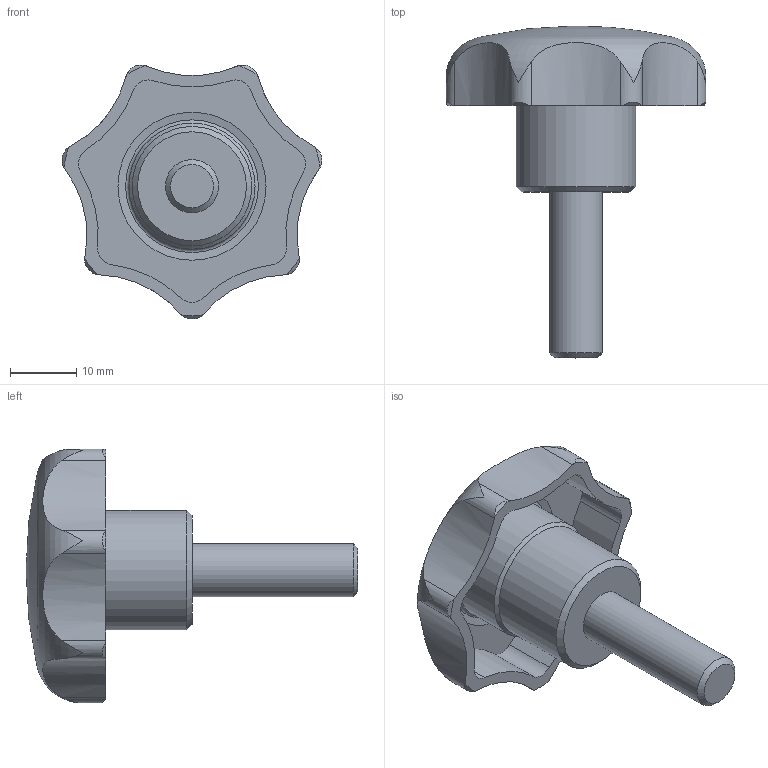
import cadquery as cq
import math


LOBES = 7
TIP_ANGLE = -90.0
HEAD_RADIUS = 20.0
HEAD_HEIGHT = 12.0
VALLEY_RADIUS = 16.65
TIP_ROUND = 2.4
SHOULDER_HEIGHT = 3.5
SHOULDER_ROUND = 7.0
RIM_CHAMFER = 0.5

WALL = 1.7
POCKET_TIP_RADIUS = 17.5
POCKET_DEPTH = 8.4
RECESS_RADIUS = 11.15
RECESS_DEPTH = 0.2

BOSS_RADIUS = 9.5
BOSS_FILLET = 0.5
HUB_RADIUS = 9.0
HUB_LENGTH = 13.0
HUB_CHAMFER = 0.8

STUD_RADIUS = 4.0
STUD_LENGTH = 25.0
STUD_CHAMFER = 0.75


def polar(radius, angle):
    return (radius * math.cos(math.radians(angle)), radius * math.sin(math.radians(angle)))


def toward(start, end, distance):
    """Point at the given distance from start on the line to end."""
    share = distance / math.dist(start, end)
    return (start[0] + share * (end[0] - start[0]), start[1] + share * (end[1] - start[1]))


def scallop_radius(tip_radius, tip_round, valley_radius):
    """Radius of the scallop arc that is tangent to the tip rounds on both sides."""
    tip_x, tip_y = polar(tip_radius - tip_round, 180 / LOBES)
    gap = valley_radius - tip_x
    return (tip_y**2 + gap**2 - tip_round**2) / (2 * (tip_round - gap))


def tip_round_for(tip_radius, valley_radius, scallop):
    """Radius of the tip round that is tangent to scallops of a given radius."""
    centre = valley_radius + scallop
    cosine = math.cos(math.pi / LOBES)
    numerator = centre**2 + tip_radius**2 - 2 * centre * tip_radius * cosine - scallop**2
    return numerator / (2 * (scallop + tip_radius - centre * cosine))


def star_prism(tip_radius, tip_round, valley_radius, scallop, height):
    """Seven-lobed prism standing on Y = 0: tip rounds joined by tangent scallops."""
    pitch = 360 / LOBES
    outline = None
    for lobe in range(LOBES):
        angle = TIP_ANGLE + lobe * pitch
        tip_centre = polar(tip_radius - tip_round, angle)
        scallop_before = polar(valley_radius + scallop, angle - pitch / 2)
        scallop_after = polar(valley_radius + scallop, angle + pitch / 2)
        tip_start = toward(tip_centre, scallop_before, tip_round)
        tip_end = toward(tip_centre, scallop_after, tip_round)
        if outline is None:
            first_point = tip_start
            outline = cq.Workplane("XZ").moveTo(*tip_start)
        else:
            outline = outline.threePointArc(polar(valley_radius, angle - pitch / 2), tip_start)
        outline = outline.threePointArc(polar(tip_radius, angle), tip_end)
    outline = outline.threePointArc(polar(valley_radius, TIP_ANGLE - pitch / 2), first_point)
    return outline.close().extrude(-height)


def revolve_about_y(profile):
    return profile.close().revolve(360, (0, 0, 0), (0, 1, 0))


def head_envelope():
    """Domed body of revolution: chamfered rim, straight side, shoulder round, crown."""
    round_centre = (HEAD_RADIUS - SHOULDER_ROUND, SHOULDER_HEIGHT)
    rise = HEAD_HEIGHT - SHOULDER_HEIGHT
    crown_radius = (rise**2 + round_centre[0]**2 - SHOULDER_ROUND**2) / (2 * (rise - SHOULDER_ROUND))
    crown_centre = HEAD_HEIGHT - crown_radius
    crown_angle = math.degrees(math.atan2(SHOULDER_HEIGHT - crown_centre, round_centre[0]))

    crown_x, crown_rise = polar(crown_radius, crown_angle)
    crown_end = (crown_x, crown_centre + crown_rise)
    crown_mid = polar(crown_radius, (crown_angle + 90) / 2)
    round_mid = polar(SHOULDER_ROUND, crown_angle / 2)
    profile = (
        cq.Workplane("XY")
        .moveTo(0, 0)
        .lineTo(HEAD_RADIUS - RIM_CHAMFER, 0)
        .lineTo(HEAD_RADIUS, RIM_CHAMFER)
        .lineTo(HEAD_RADIUS, SHOULDER_HEIGHT)
        .threePointArc((round_centre[0] + round_mid[0], round_centre[1] + round_mid[1]), crown_end)
        .threePointArc((crown_mid[0], crown_centre + crown_mid[1]), (0, HEAD_HEIGHT))
    )
    return revolve_about_y(profile)


def head():
    scallop = scallop_radius(HEAD_RADIUS, TIP_ROUND, VALLEY_RADIUS)
    outer = star_prism(HEAD_RADIUS, TIP_ROUND, VALLEY_RADIUS, scallop, HEAD_HEIGHT)

    pocket_valley = VALLEY_RADIUS - WALL
    pocket_scallop = scallop + WALL
    pocket_round = tip_round_for(POCKET_TIP_RADIUS, pocket_valley, pocket_scallop)
    pocket = star_prism(POCKET_TIP_RADIUS, pocket_round, pocket_valley, pocket_scallop, POCKET_DEPTH)
    return head_envelope().intersect(outer).cut(pocket).cut(boss_recess())


def boss_recess():
    """Conical recess in the pocket floor, deepest against the boss."""
    profile = (
        cq.Workplane("XY")
        .moveTo(0, POCKET_DEPTH)
        .lineTo(RECESS_RADIUS, POCKET_DEPTH)
        .lineTo(BOSS_RADIUS + BOSS_FILLET, POCKET_DEPTH + RECESS_DEPTH)
        .lineTo(0, POCKET_DEPTH + RECESS_DEPTH)
    )
    return revolve_about_y(profile)


def boss_hub_and_stud():
    """Boss with a filleted foot, chamfered hub and chamfered stud as one turned body."""
    boss_base = POCKET_DEPTH + RECESS_DEPTH
    fillet_radius = BOSS_RADIUS + BOSS_FILLET
    fillet_start = boss_base - BOSS_FILLET
    fillet_dx, fillet_dy = polar(BOSS_FILLET, 135)
    fillet_mid = (fillet_radius + fillet_dx, fillet_start + fillet_dy)
    step_end = BOSS_RADIUS - HUB_RADIUS
    stud_end = -HUB_LENGTH - STUD_LENGTH
    profile = (
        cq.Workplane("XY")
        .moveTo(0, boss_base)
        .lineTo(fillet_radius, boss_base)
        .threePointArc(fillet_mid, (BOSS_RADIUS, fillet_start))
        .lineTo(BOSS_RADIUS, step_end)
        .lineTo(HUB_RADIUS, 0)
        .lineTo(HUB_RADIUS, HUB_CHAMFER - HUB_LENGTH)
        .lineTo(HUB_RADIUS - HUB_CHAMFER, -HUB_LENGTH)
        .lineTo(STUD_RADIUS, -HUB_LENGTH)
        .lineTo(STUD_RADIUS, stud_end + STUD_CHAMFER)
        .lineTo(STUD_RADIUS - STUD_CHAMFER, stud_end)
        .lineTo(0, stud_end)
    )
    return revolve_about_y(profile)


result = head().union(boss_hub_and_stud())